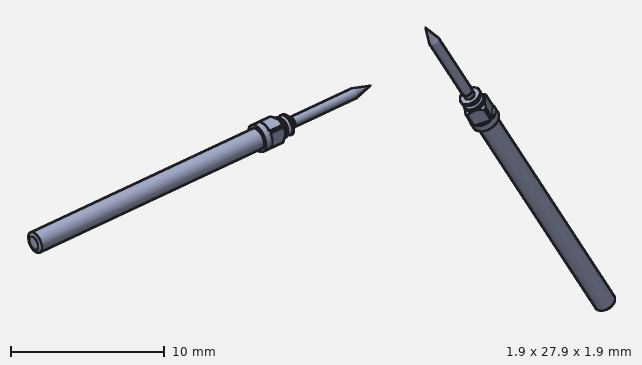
import cadquery as cq

length = 27.9
tip_y = length / 2
rear_y = -length / 2

shaft_radius = 0.35
root_radius = 0.33
neck_radius = 0.55
notch_radius = 0.67
barrel_radius = 0.73
collar_radius = 0.95
rear_face_radius = 0.47
square_width = 2 * barrel_radius

cone_end = 1.37
shaft_end = 6.5
disc_front = 6.9
disc_rear = 7.03
neck_bottom = 7.25
ridge = 7.42
notch = 7.5
square_front = 7.62
square_chamfer = 0.2
collar_front = 8.85
collar_rear = 9.37
rear_chamfer = 0.1


def make_turned_body():
    """Revolve the half profile around the Y axis."""
    profile = [
        (0, tip_y),
        (shaft_radius, tip_y - cone_end),
        (shaft_radius, tip_y - shaft_end),
        (root_radius, tip_y - shaft_end),
        (root_radius, tip_y - disc_front),
        (barrel_radius, tip_y - disc_front),
        (barrel_radius, tip_y - disc_rear),
        (neck_radius, tip_y - neck_bottom),
        (barrel_radius, tip_y - ridge),
        (notch_radius, tip_y - notch),
        (barrel_radius, tip_y - square_front),
        (collar_radius, tip_y - square_front - square_chamfer),
        (collar_radius, tip_y - collar_rear),
        (barrel_radius, tip_y - collar_rear),
        (barrel_radius, rear_y + rear_chamfer),
        (rear_face_radius, rear_y),
        (0, rear_y),
    ]
    half = cq.Workplane("XY").polyline(profile).close()
    return half.revolve(360, (0, 0, 0), (0, 1, 0))


def make_flat_cutter():
    """Ring that leaves a square section between the notch and the collar."""
    flat_length = collar_front - square_front
    stock_width = 3 * collar_radius
    stock = cq.Workplane("XY").box(stock_width, flat_length, stock_width)
    core = cq.Workplane("XY").box(square_width, flat_length, square_width)
    flat_center_y = tip_y - (square_front + collar_front) / 2
    return stock.cut(core).translate((0, flat_center_y, 0))


result = make_turned_body().cut(make_flat_cutter())